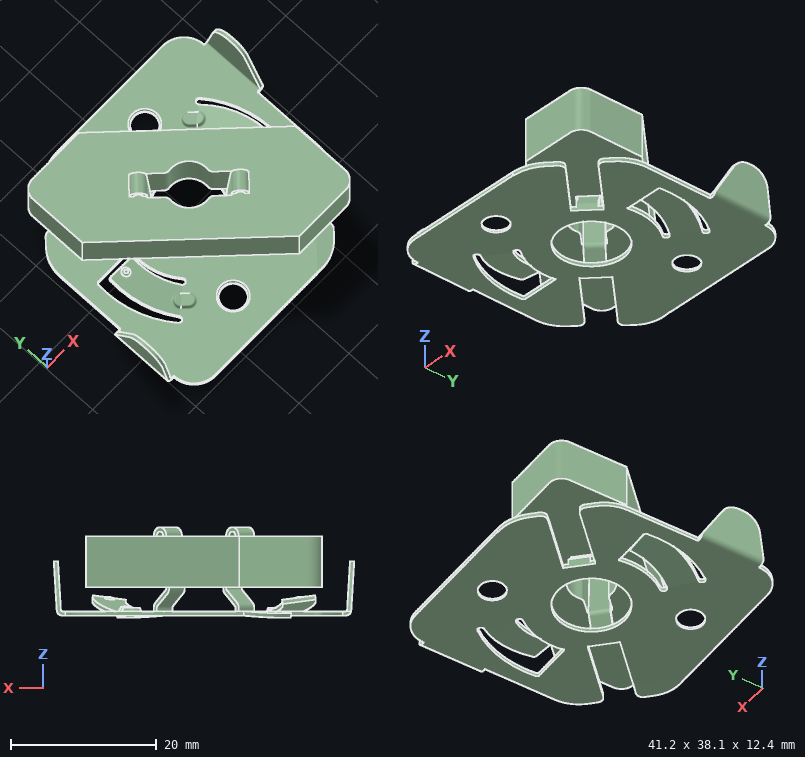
import cadquery as cq
import math

DIAGONAL_ANGLE = -45.0
SHEET = 0.6

PLATE_SIDE = 38.05
PLATE_CORNER_RADIUS = 4.0
PLATE_REACH = 19.77
CUT_CORNER_RADIUS = 6.0
CENTRE_HOLE_DIAMETER = 11.0
SCREW_HOLE_DIAMETER = 4.0
SCREW_HOLE_CHAMFER = 0.3
SCREW_HOLE_X = 5.0
SCREW_HOLE_Y = 12.97
LEG_SLOT_WIDTH = 4.55
LEG_SLOT_CORNER_RADIUS = 1.0
FOLD_POSITION = 17.3
FOLD_DROP = 0.3

BLOCK_SIDE = 32.38
BLOCK_WIDTH = 16.02
BLOCK_BOTTOM = 3.9
BLOCK_HEIGHT = 7.0
BLOCK_TOP = BLOCK_BOTTOM + BLOCK_HEIGHT
BLOCK_CORNER_RADIUS = 2.0
BORE_DIAMETER = 6.8
BLOCK_SLOT_WIDTH = 3.5
BLOCK_SLOT_LENGTH = 11.85
BLOCK_SLOT_END_RADIUS = 0.35
BORE_BLEND_RADIUS = 1.0

CLIP_WIDTH = 3.05
CURL_RADIUS = 1.25
CURL_CENTRE = 7.0
LEG_FOOT = 7.6
LEG_WAIST = 5.2
LEG_LOWER_BEND = 1.25
LEG_UPPER_BEND = 3.35
LEG_MITRE = 0.3

LEG_BEND_INNER_RADIUS = 0.37
LEG_BEND_OUTER_RADIUS = LEG_BEND_INNER_RADIUS + SHEET

TAB_TIP_X = -20.6
TAB_START_Y = -5.0
TAB_WIDTH = 10.0
TAB_HEIGHT = 7.5
TAB_LEAN = 3.4
TAB_NEAR_EDGE_SLOPE = 30.0
TAB_FAR_EDGE_SLOPE = 10.0
TAB_TIP_RADIUS = 3.0
TAB_BEND_RADIUS = 0.85

SLIT = 1.0
TONGUE_SLOT_OUTER_RADIUS = 16.48
TONGUE_SLOT_INNER_RADIUS = 9.93
TONGUE_SLOT_END_Y = 1.95
TONGUE_CORNER_RADIUS = 0.35
HINGE_ANGLE = 218.0
TONGUE_TILT = 12.5
DIMPLE_X = -13.15
DIMPLE_Y = -0.05
DIMPLE_BASE_DIAMETER = 1.3
DIMPLE_TOP_DIAMETER = 0.58
DIMPLE_HEIGHT = 0.2
EMBOSS_X = -10.15
EMBOSS_Y = -8.53
EMBOSS_LENGTH = 3.45
EMBOSS_WIDTH = 2.2
EMBOSS_HEIGHT = 0.5
EMBOSS_TAPER = 20.0
EMBOSS_ROUND = 0.25


def swing(solid):
    """Turn a solid from the working frame into its final place."""
    return solid.rotate((0, 0, 0), (0, 0, 1), DIAGONAL_ANGLE)


def unswing(solid):
    """Turn a solid laid out square to the sides into the working frame."""
    return solid.rotate((0, 0, 0), (0, 0, 1), -DIAGONAL_ANGLE)


def half_turn(solid):
    return solid.rotate((0, 0, 0), (0, 0, 1), 180)


def slab(length, width, height, bottom=0.0):
    return cq.Workplane("XY", origin=(0, 0, bottom)).box(length, width, height, centered=(True, True, False))


def polar(radius, angle):
    return (radius * math.cos(math.radians(angle)), radius * math.sin(math.radians(angle)))


def flat_plate():
    square = slab(PLATE_SIDE, PLATE_SIDE, SHEET).edges("|Z").edges(">(1,1,0) or <(1,1,0)")
    plate = unswing(square.fillet(PLATE_CORNER_RADIUS))
    plate = plate.intersect(slab(2 * PLATE_REACH, 2 * PLATE_SIDE, SHEET))
    plate = plate.edges("|Z").edges(">X or <X").fillet(CUT_CORNER_RADIUS)
    slot_start = LEG_FOOT + SHEET
    for side in (-1, 1):
        slot = slab(PLATE_REACH, LEG_SLOT_WIDTH, SHEET)
        plate = plate.cut(slot.translate((side * (slot_start + PLATE_REACH / 2), 0, 0)))
    slot_mouths = plate.edges("|Z").edges(cq.selectors.BoxSelector(
        (-PLATE_SIDE, -LEG_SLOT_WIDTH, -SHEET), (PLATE_SIDE, LEG_SLOT_WIDTH, 2 * SHEET)))
    plate = slot_mouths.edges(">X or <X").fillet(LEG_SLOT_CORNER_RADIUS)
    return plate.cut(cq.Workplane("XY").circle(CENTRE_HOLE_DIAMETER / 2).extrude(SHEET))


def fold_corners(plate):
    """Bend one of the two lobes at each cut-off corner slightly downward."""
    angle = math.degrees(math.asin(FOLD_DROP / (PLATE_REACH - FOLD_POSITION)))
    lobe_zone = slab(PLATE_SIDE, PLATE_SIDE, SHEET)
    lobe_zone = lobe_zone.translate((FOLD_POSITION + PLATE_SIDE / 2, -PLATE_SIDE / 2, 0))
    lobe = plate.intersect(lobe_zone)
    lobe = lobe.rotate((FOLD_POSITION, 0, SHEET), (FOLD_POSITION, 1, SHEET), angle)
    flat_rest = plate.cut(lobe_zone).cut(half_turn(lobe_zone))
    return flat_rest.union(lobe).union(half_turn(lobe))


def cut_screw_holes(plate):
    radius = SCREW_HOLE_DIAMETER / 2
    hole = cq.Workplane("XY").circle(radius).extrude(SHEET)
    rim = (
        cq.Workplane("XY", origin=(0, 0, SHEET - SCREW_HOLE_CHAMFER))
        .circle(radius)
        .workplane(offset=SCREW_HOLE_CHAMFER)
        .circle(radius + SCREW_HOLE_CHAMFER)
        .loft()
    )
    cutter = unswing(hole.union(rim).translate((SCREW_HOLE_X, SCREW_HOLE_Y, 0)))
    return plate.cut(cutter).cut(half_turn(cutter))


def block():
    body = slab(BLOCK_SIDE, BLOCK_SIDE, BLOCK_HEIGHT, BLOCK_BOTTOM)
    body = body.edges("|Z").edges(">(1,-1,0) or <(1,-1,0)").fillet(BLOCK_CORNER_RADIUS)
    body = unswing(body).intersect(slab(2 * BLOCK_SIDE, BLOCK_WIDTH, BLOCK_HEIGHT, BLOCK_BOTTOM))
    slot = slab(BLOCK_SLOT_LENGTH, BLOCK_SLOT_WIDTH, BLOCK_HEIGHT, BLOCK_BOTTOM)
    slot = slot.edges("|Z").fillet(BLOCK_SLOT_END_RADIUS)
    bore = cq.Workplane("XY", origin=(0, 0, BLOCK_BOTTOM)).circle(BORE_DIAMETER / 2).extrude(BLOCK_HEIGHT)
    opening = slot.union(bore)
    blend_reach = BORE_DIAMETER / 2
    blend_edges = opening.edges("|Z").edges(cq.selectors.BoxSelector(
        (-blend_reach, -blend_reach, BLOCK_BOTTOM), (blend_reach, blend_reach, BLOCK_TOP)))
    return body.cut(blend_edges.fillet(BORE_BLEND_RADIUS))


def clip():
    curl_inner = CURL_CENTRE - CURL_RADIUS
    curl_outer = CURL_CENTRE + CURL_RADIUS
    profile = (
        cq.Workplane("XZ", origin=(0, CLIP_WIDTH / 2, 0))
        .moveTo(LEG_FOOT, 0)
        .lineTo(LEG_FOOT, LEG_LOWER_BEND)
        .lineTo(LEG_WAIST, LEG_UPPER_BEND)
        .lineTo(curl_inner, BLOCK_TOP)
        .threePointArc((CURL_CENTRE, BLOCK_TOP + CURL_RADIUS), (curl_outer, BLOCK_TOP))
        .lineTo(curl_outer - SHEET, BLOCK_TOP)
        .threePointArc((CURL_CENTRE, BLOCK_TOP + CURL_RADIUS - SHEET), (curl_inner + SHEET, BLOCK_TOP))
        .lineTo(LEG_WAIST + SHEET, LEG_UPPER_BEND + LEG_MITRE)
        .lineTo(LEG_FOOT + SHEET, LEG_LOWER_BEND + LEG_MITRE)
        .lineTo(LEG_FOOT + SHEET, 0)
        .close()
    )
    strip = profile.extrude(CLIP_WIDTH)
    bends = [
        (LEG_FOOT, LEG_LOWER_BEND, LEG_BEND_INNER_RADIUS),
        (LEG_FOOT + SHEET, LEG_LOWER_BEND + LEG_MITRE, LEG_BEND_OUTER_RADIUS),
        (LEG_WAIST, LEG_UPPER_BEND, LEG_BEND_OUTER_RADIUS),
        (LEG_WAIST + SHEET, LEG_UPPER_BEND + LEG_MITRE, LEG_BEND_INNER_RADIUS),
    ]
    for x, z, radius in bends:
        bend_edge = cq.selectors.NearestToPointSelector((x, 0, z))
        strip = strip.edges("|Y").edges(bend_edge).fillet(radius)
    return strip


def side_tab():
    """Tab on the -X side: the bent, leaning sheet trimmed to a rounded outline."""
    lean = math.tan(math.radians(TAB_LEAN))
    foot_x = TAB_TIP_X + lean * (TAB_HEIGHT - TAB_BEND_RADIUS)
    bend_x = foot_x + TAB_BEND_RADIUS
    inner_bend = TAB_BEND_RADIUS - SHEET
    outer_bend_mid = polar(TAB_BEND_RADIUS, 225)
    inner_bend_mid = polar(inner_bend, 225)
    sheet = (
        cq.Workplane("XZ", origin=(0, TAB_START_Y, 0))
        .moveTo(-PLATE_SIDE / 2, 0)
        .lineTo(bend_x, 0)
        .threePointArc((bend_x + outer_bend_mid[0], TAB_BEND_RADIUS + outer_bend_mid[1]),
                       (foot_x, TAB_BEND_RADIUS))
        .lineTo(TAB_TIP_X, TAB_HEIGHT)
        .lineTo(TAB_TIP_X + SHEET, TAB_HEIGHT)
        .lineTo(foot_x + SHEET, TAB_BEND_RADIUS)
        .threePointArc((bend_x + inner_bend_mid[0], TAB_BEND_RADIUS + inner_bend_mid[1]), (bend_x, SHEET))
        .lineTo(-PLATE_SIDE / 2, SHEET)
        .close()
        .extrude(TAB_WIDTH)
    )
    far_y = TAB_START_Y - TAB_WIDTH
    slope_height = TAB_HEIGHT - SHEET
    near_run = slope_height * math.tan(math.radians(TAB_NEAR_EDGE_SLOPE))
    far_run = slope_height * math.tan(math.radians(TAB_FAR_EDGE_SLOPE))
    outline = (
        cq.Workplane("YZ", origin=(-PLATE_SIDE, 0, 0))
        .polyline([
            (TAB_START_Y, 0),
            (TAB_START_Y, SHEET),
            (TAB_START_Y - near_run, TAB_HEIGHT),
            (far_y + far_run, TAB_HEIGHT),
            (far_y, SHEET),
            (far_y, 0),
        ])
        .close()
        .extrude(PLATE_SIDE)
        .edges("|X and >Z")
        .fillet(TAB_TIP_RADIUS)
    )
    return unswing(sheet.intersect(outline))


def ring_piece(inner_radius, outer_radius, end_y):
    """Piece of a flat ring from the hinge line round to a straight end at end_y."""
    hinge_inner = polar(inner_radius, HINGE_ANGLE)
    hinge_outer = polar(outer_radius, HINGE_ANGLE)
    end_inner = (-math.sqrt(inner_radius**2 - end_y**2), end_y)
    end_outer = (-math.sqrt(outer_radius**2 - end_y**2), end_y)
    middle_angle = (HINGE_ANGLE + 180) / 2
    return (
        cq.Workplane("XY")
        .moveTo(*hinge_inner)
        .lineTo(*hinge_outer)
        .threePointArc(polar(outer_radius, middle_angle), end_outer)
        .lineTo(*end_inner)
        .threePointArc(polar(inner_radius, middle_angle), hinge_inner)
        .close()
        .extrude(SHEET)
        .edges("|Z and >Y")
        .edges("<X")
        .fillet(TONGUE_CORNER_RADIUS)
    )


def tongue_opening():
    opening = ring_piece(TONGUE_SLOT_INNER_RADIUS, TONGUE_SLOT_OUTER_RADIUS, TONGUE_SLOT_END_Y)
    for radius in (TONGUE_SLOT_INNER_RADIUS + SLIT / 2, TONGUE_SLOT_OUTER_RADIUS - SLIT / 2):
        round_end = cq.Workplane("XY").center(*polar(radius, HINGE_ANGLE)).circle(SLIT / 2)
        opening = opening.union(round_end.extrude(SHEET))
    return unswing(opening)


def tongue():
    leaf = ring_piece(
        TONGUE_SLOT_INNER_RADIUS + SLIT,
        TONGUE_SLOT_OUTER_RADIUS - SLIT,
        TONGUE_SLOT_END_Y - SLIT,
    )
    dimple = (
        cq.Workplane("XY", origin=(DIMPLE_X, DIMPLE_Y, SHEET))
        .circle(DIMPLE_BASE_DIAMETER / 2)
        .workplane(offset=DIMPLE_HEIGHT)
        .circle(DIMPLE_TOP_DIAMETER / 2)
        .loft()
    )
    raised = emboss().intersect(tongue_side())
    leaf = leaf.union(dimple).union(raised)
    return unswing(leaf.rotate((0, 0, 0), (*polar(1, HINGE_ANGLE), 0), -TONGUE_TILT))


def emboss():
    """Oblong stiffener with rounded edges across the hinge line, as it is before bending."""
    ground = slab(2 * EMBOSS_LENGTH, 2 * EMBOSS_LENGTH, SHEET)
    walls = cq.Workplane("XY", origin=(0, 0, SHEET)).slot2D(EMBOSS_LENGTH, EMBOSS_WIDTH)
    walls = walls.extrude(EMBOSS_HEIGHT, taper=EMBOSS_TAPER)
    oblong = ground.union(walls).faces(">Z").edges().fillet(EMBOSS_ROUND)
    foot_edges = oblong.edges(cq.selectors.BoxSelector(
        (-EMBOSS_WIDTH, -EMBOSS_WIDTH, SHEET - EMBOSS_ROUND / 2),
        (EMBOSS_WIDTH, EMBOSS_WIDTH, SHEET + EMBOSS_ROUND / 2)))
    oblong = foot_edges.fillet(EMBOSS_ROUND).cut(ground)
    oblong = oblong.rotate((0, 0, 0), (0, 0, 1), DIAGONAL_ANGLE)
    return oblong.translate((EMBOSS_X, EMBOSS_Y, 0))


def tongue_side():
    """Space on the tongue's side of the hinge line."""
    space = slab(2 * PLATE_SIDE, PLATE_SIDE, PLATE_SIDE).translate((0, -PLATE_SIDE / 2, 0))
    return space.rotate((0, 0, 0), (0, 0, 1), HINGE_ANGLE)


def plate_emboss():
    """The half of the stiffener that stays on the plate."""
    return unswing(emboss().cut(tongue_side()))


base = cut_screw_holes(fold_corners(flat_plate()))
opening = tongue_opening()
base = base.cut(opening).cut(half_turn(opening))

body = base.union(block())
for feature in (clip(), side_tab(), tongue(), plate_emboss()):
    body = body.union(feature).union(half_turn(feature))

result = swing(body)